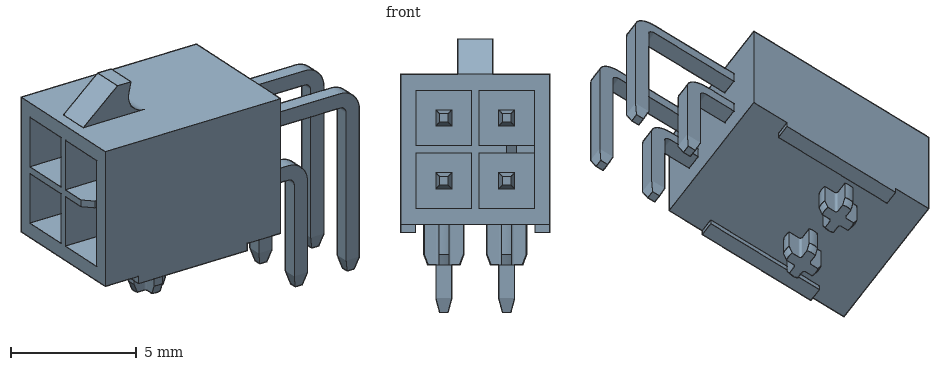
import cadquery as cq
import math

PITCH = 2.5

HOUSING_WIDTH = 5.94
HOUSING_LENGTH = 8.45
HOUSING_HEIGHT = 5.98
POCKET_SIZE = 2.2
POCKET_DEPTH = 6.5
COLUMN_X = (-PITCH / 2, PITCH / 2)
ROW_Z = (HOUSING_HEIGHT / 2 - PITCH / 2, HOUSING_HEIGHT / 2 + PITCH / 2)

NOTCH_DEPTH = 3.0
NOTCH_CHAMFER = 0.4

RAIL_WIDTH = 0.6
RAIL_HEIGHT = 0.32
RAIL_SETBACK = 1.6

LATCH_WIDTH = 1.4
LATCH_HEIGHT = 1.4
LATCH_RAMP_START = 0.49
LATCH_CREST_START = 2.14
LATCH_TAIL_END = 3.43
LATCH_ROOT_RADIUS = 0.76
LATCH_HOOK_ANGLE = math.radians(12)

PEG_SPACING = PITCH
PEG_Y = 3.2
PEG_RADIUS = 0.8
PEG_TIP_RADIUS = 0.65
PEG_LENGTH = 1.6
PEG_TAPER_LENGTH = 0.4
PEG_ARM_WIDTH = 0.4
PEG_CORNER_FILLET = 0.1

PIN_WIDTH = 0.64
PIN_TIP_WIDTH = 0.34
PIN_TAPER_LENGTH = 0.56
PIN_INSET = 2.0
PIN_BOTTOM_Z = -3.5
PIN_INNER_RADIUS = 0.3
FRONT_LEG_Y = 10.38


def box(x_range, y_range, z_range):
    """Axis-aligned block given by its limits along each axis."""
    size = [high - low for low, high in (x_range, y_range, z_range)]
    origin = (x_range[0], y_range[0], z_range[0])
    return cq.Workplane("XY").box(*size, centered=False).translate(origin)


def make_pocket(x, z):
    """Square terminal pocket opening on the mating face."""
    half = POCKET_SIZE / 2
    return box((x - half, x + half), (0, POCKET_DEPTH), (z - half, z + half))


def make_notch():
    """Opening in the wall between the +X pockets, with its mouth widened by a 45 degree chamfer."""
    mouth_x = COLUMN_X[1]
    inner_x = mouth_x + NOTCH_CHAMFER
    outer_x = COLUMN_X[1] + POCKET_SIZE / 2
    outline = [
        (mouth_x, 0),
        (inner_x, NOTCH_CHAMFER),
        (inner_x, NOTCH_DEPTH),
        (outer_x, NOTCH_DEPTH),
        (outer_x, 0),
    ]
    wall_thickness = PITCH - POCKET_SIZE
    bottom_z = (HOUSING_HEIGHT - wall_thickness) / 2
    return cq.Workplane("XY").workplane(offset=bottom_z).polyline(outline).close().extrude(wall_thickness)


def make_rail(side):
    """Standoff rail along one side edge; side is -1 or 1."""
    x_range = sorted((side * HOUSING_WIDTH / 2, side * (HOUSING_WIDTH / 2 - RAIL_WIDTH)))
    return box(x_range, (RAIL_SETBACK, HOUSING_LENGTH - RAIL_SETBACK), (-RAIL_HEIGHT, 0))


def make_latch():
    """Ramped latch whose undercut rear face runs tangentially into a round root."""
    center_z = HOUSING_HEIGHT + LATCH_ROOT_RADIUS
    crest_z = HOUSING_HEIGHT + LATCH_HEIGHT

    def root_point(angle):
        """Point of the root arc, at an angle above its foremost point."""
        return (
            LATCH_TAIL_END - LATCH_ROOT_RADIUS * math.cos(angle),
            center_z + LATCH_ROOT_RADIUS * math.sin(angle),
        )

    tangent_y, tangent_z = root_point(LATCH_HOOK_ANGLE)
    hook_y = tangent_y + (crest_z - tangent_z) * math.tan(LATCH_HOOK_ANGLE)
    arc_middle = root_point((LATCH_HOOK_ANGLE - math.pi / 2) / 2)
    return (
        cq.Workplane("YZ")
        .moveTo(LATCH_RAMP_START, HOUSING_HEIGHT)
        .lineTo(LATCH_CREST_START, crest_z)
        .lineTo(hook_y, crest_z)
        .lineTo(tangent_y, tangent_z)
        .threePointArc(arc_middle, (LATCH_TAIL_END, HOUSING_HEIGHT))
        .close()
        .extrude(LATCH_WIDTH / 2, both=True)
    )


def make_peg(x):
    """Cross-shaped peg with filleted inner corners, trimmed to a round body with a tapered end."""
    cross_span = 4 * PEG_RADIUS
    arms = (
        cq.Workplane("XY")
        .rect(cross_span, PEG_ARM_WIDTH)
        .extrude(-PEG_LENGTH)
        .union(cq.Workplane("XY").rect(PEG_ARM_WIDTH, cross_span).extrude(-PEG_LENGTH))
    )
    inner_corners = cq.selectors.BoxSelector(
        (-PEG_ARM_WIDTH, -PEG_ARM_WIDTH, -PEG_LENGTH), (PEG_ARM_WIDTH, PEG_ARM_WIDTH, 0)
    )
    cross = arms.edges("|Z").edges(inner_corners).fillet(PEG_CORNER_FILLET)
    round_body = (
        cq.Workplane("XZ")
        .polyline(
            [
                (0, 0),
                (PEG_RADIUS, 0),
                (PEG_RADIUS, PEG_TAPER_LENGTH - PEG_LENGTH),
                (PEG_TIP_RADIUS, -PEG_LENGTH),
                (0, -PEG_LENGTH),
            ]
        )
        .close()
        .revolve(360, (0, 0, 0), (0, 1, 0))
    )
    return cross.intersect(round_body).translate((x, PEG_Y, 0))


def make_pin_tip(base_center, direction):
    """Square taper from the full pin width down to the tip width, along a direction."""
    base_plane = cq.Plane(origin=base_center, xDir=(1, 0, 0), normal=direction)
    return (
        cq.Workplane(base_plane)
        .rect(PIN_WIDTH, PIN_WIDTH)
        .workplane(offset=PIN_TAPER_LENGTH)
        .rect(PIN_TIP_WIDTH, PIN_TIP_WIDTH)
        .loft(ruled=True)
    )


def make_pin(x, z, leg_y):
    """Square pin running back at height z, bending down at leg_y, with both ends tapered."""
    bend_radius = PIN_INNER_RADIUS + PIN_WIDTH / 2
    front_y = PIN_INSET + PIN_TAPER_LENGTH
    bottom_z = PIN_BOTTOM_Z + PIN_TAPER_LENGTH
    diagonal = bend_radius * math.sqrt(0.5)
    path = (
        cq.Workplane("YZ", origin=(x, 0, 0))
        .moveTo(front_y, z)
        .lineTo(leg_y - bend_radius, z)
        .threePointArc(
            (leg_y - bend_radius + diagonal, z - bend_radius + diagonal),
            (leg_y, z - bend_radius),
        )
        .lineTo(leg_y, bottom_z)
    )
    bar = cq.Workplane("XZ", origin=(x, front_y, z)).rect(PIN_WIDTH, PIN_WIDTH).sweep(path)
    mating_tip = make_pin_tip((x, front_y, z), (0, -1, 0))
    solder_tip = make_pin_tip((x, leg_y, bottom_z), (0, 0, -1))
    return bar.union(mating_tip).union(solder_tip)


def make_housing(pins):
    """Housing with its pockets, notch, rails, latch and pegs, and a fitted hole for each pin."""
    body = box(
        (-HOUSING_WIDTH / 2, HOUSING_WIDTH / 2),
        (0, HOUSING_LENGTH),
        (0, HOUSING_HEIGHT),
    )
    for x in COLUMN_X:
        for z in ROW_Z:
            body = body.cut(make_pocket(x, z))
    body = body.cut(make_notch()).union(make_latch())
    for side in (-1, 1):
        body = body.union(make_rail(side))
        body = body.union(make_peg(side * PEG_SPACING / 2))
    for pin in pins:
        body = body.cut(pin)
    return body


pins = [
    make_pin(x, z, FRONT_LEG_Y + row * PITCH)
    for row, z in enumerate(ROW_Z)
    for x in COLUMN_X
]
housing = make_housing(pins)

bodies = [housing, *pins]
result = cq.Compound.makeCompound([body.solids().val() for body in bodies])